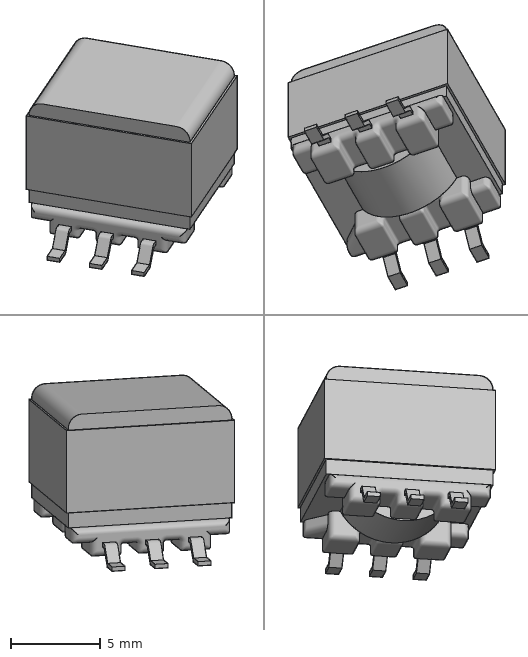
import cadquery as cq

TOTAL_HEIGHT = 8.59
FOOT_BOTTOM = 0.38
FLANGE_BOTTOM = 1.2
FLANGE_TOP = 2.03
NOTCH_TOP = 1.04
CORE_BOTTOM = 2.07
BAND_BOTTOM = 2.96
BAND_TOP = 7.71

CORE_LENGTH_X = 9.52
CORE_WIDTH_Y = 7.82
BAND_THICKNESS = 0.13
CORE_TOP_RADIUS = 0.8

CHEEK_OUTER_Y = 4.3
FOOT_INNER_Y = 1.82
FLANGE_INNER_Y = 2.36
FOOT_HALF_X = 3.49
FLANGE_HALF_X = 4.6
FLANGE_MIDDLE_Z = (FLANGE_BOTTOM + FLANGE_TOP) / 2
NOTCH_NEAR_X = 0.75
NOTCH_FAR_X = 1.71
FACE_RADIUS = 0.34
CORNER_RADIUS = 0.13

WINDING_RADIUS = 3.3

PINS_PER_SIDE = 3
PIN_PITCH = 2.5
PIN_WIDTH = 0.75
PIN_THICKNESS = 0.25
PIN_TOP = 1.2
PIN_TIP_Y = 6.35
PIN_ROOT_Y = 3.81
PIN_UPPER_KNEE_Y = 4.75
PIN_LOWER_KNEE_Y = 5.42
PIN_KNEE_SHIFT = 0.11
PIN_BEND_RADIUS = 0.25


def block(x0, x1, y0, y1, z0, z1):
    """Box between two opposite corners."""
    return cq.Workplane("XY").box(x1 - x0, y1 - y0, z1 - z0, centered=False).translate((x0, y0, z0))


def make_core():
    """Core with a top rounded along both X sides, and the raised band around it."""
    half_x = CORE_LENGTH_X / 2
    half_y = CORE_WIDTH_Y / 2
    core = block(-half_x, half_x, -half_y, half_y, CORE_BOTTOM, TOTAL_HEIGHT)
    core = core.faces(">Z").edges("|Y").fillet(CORE_TOP_RADIUS)
    band_x = half_x + BAND_THICKNESS
    band_y = half_y + BAND_THICKNESS
    band = block(-band_x, band_x, -band_y, band_y, BAND_BOTTOM, BAND_TOP)
    return core.union(band)


def make_foot_block():
    """Front (-Y) foot block: three feet split by two notches, rounded around both Y faces.

    It rises to the core behind the flange and ends inside the flange further forward.
    """
    feet = block(-FOOT_HALF_X, FOOT_HALF_X, -CHEEK_OUTER_Y, -FOOT_INNER_Y, FOOT_BOTTOM, CORE_BOTTOM)
    flange_room = block(
        -FOOT_HALF_X, FOOT_HALF_X, -CHEEK_OUTER_Y, -FLANGE_INNER_Y, FLANGE_MIDDLE_Z, CORE_BOTTOM
    )
    feet = feet.cut(flange_room)
    for x0, x1 in ((NOTCH_NEAR_X, NOTCH_FAR_X), (-NOTCH_FAR_X, -NOTCH_NEAR_X)):
        notch = block(x0, x1, -CHEEK_OUTER_Y, -FOOT_INNER_Y, FOOT_BOTTOM, NOTCH_TOP)
        feet = feet.cut(notch.edges("|Y and >Z").fillet(CORNER_RADIUS))
    for face in ("<Y", ">Y"):
        feet = feet.faces(face).edges("not >Z").fillet(FACE_RADIUS)
    return feet.faces("<Z").edges("|Y").fillet(CORNER_RADIUS)


def make_flange(has_marked_corner):
    """Front flange, rounded around its front and inner faces.

    The marked version has its inner +X corner cut at 45 degrees, down to the side of the foot block.
    """
    flange = block(-FLANGE_HALF_X, FLANGE_HALF_X, -CHEEK_OUTER_Y, -FLANGE_INNER_Y, FLANGE_BOTTOM, FLANGE_TOP)
    if has_marked_corner:
        inner_corner = (FLANGE_HALF_X, -FLANGE_INNER_Y, FLANGE_MIDDLE_Z)
        corner_edge = flange.edges(cq.selectors.NearestToPointSelector(inner_corner))
        flange = corner_edge.chamfer(FLANGE_HALF_X - FOOT_HALF_X)
    upright_end_edges = "(|Z and (>X or <X))"
    bottom_edges = "(<Z and (not |Y))"
    front_top_edge = "(>Z and <Y)"
    rounded_edges = " or ".join((upright_end_edges, bottom_edges, front_top_edge))
    flange = flange.edges(rounded_edges).fillet(FACE_RADIUS)
    return flange.faces("<Z").edges("|Y").fillet(CORNER_RADIUS)


def make_pin():
    """Gull-wing pin of the front side, centred on X = 0, with its root buried in the cheek."""
    pin_bottom = PIN_TOP - PIN_THICKNESS
    profile = [
        (-PIN_ROOT_Y, PIN_TOP),
        (-PIN_UPPER_KNEE_Y, PIN_TOP),
        (-PIN_LOWER_KNEE_Y, PIN_THICKNESS),
        (-PIN_TIP_Y, PIN_THICKNESS),
        (-PIN_TIP_Y, 0),
        (PIN_KNEE_SHIFT - PIN_LOWER_KNEE_Y, 0),
        (PIN_KNEE_SHIFT - PIN_UPPER_KNEE_Y, pin_bottom),
        (-PIN_ROOT_Y, pin_bottom),
    ]
    pin = cq.Workplane("YZ").polyline(profile).close().extrude(PIN_WIDTH / 2, both=True)
    outer_bend = cq.selectors.NearestToPointSelector((0, -PIN_UPPER_KNEE_Y, PIN_TOP))
    return pin.edges("|X").edges(outer_bend).fillet(PIN_BEND_RADIUS)


def make_cheek(has_marked_corner):
    """Front cheek with its pins."""
    cheek = make_foot_block().union(make_flange(has_marked_corner))
    for index in range(PINS_PER_SIDE):
        pin_x = (index - (PINS_PER_SIDE - 1) / 2) * PIN_PITCH
        cheek = cheek.union(make_pin().translate((pin_x, 0, 0)))
    return cheek


def make_winding():
    """Part of a Y-axis cylinder that bulges out below the core, level with the feet."""
    axis_height = FOOT_BOTTOM + WINDING_RADIUS
    cylinder = cq.Workplane("XZ").center(0, axis_height).circle(WINDING_RADIUS)
    cylinder = cylinder.extrude(FOOT_INNER_Y, both=True)
    below_core = block(-WINDING_RADIUS, WINDING_RADIUS, -FOOT_INNER_Y, FOOT_INNER_Y, 0, CORE_BOTTOM)
    return cylinder.intersect(below_core)


def make_bobbin():
    """Two cheeks with pins, joined by the winding; the rear cheek has the marked corner at -X."""
    front = make_cheek(has_marked_corner=False)
    rear = make_cheek(has_marked_corner=True).rotate((0, 0, 0), (0, 0, 1), 180)
    return front.union(rear).union(make_winding())


core = make_core()
bobbin = make_bobbin()

result = cq.Compound.makeCompound([core.solids().val(), bobbin.solids().val()])